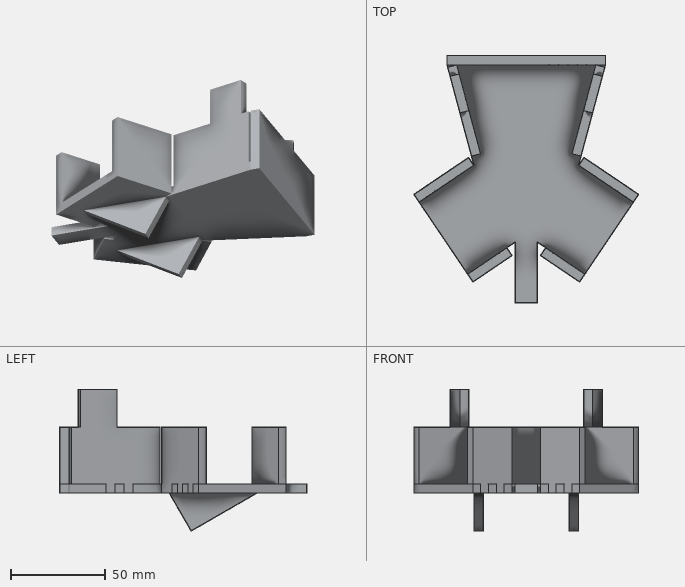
import cadquery as cq
import math

sheet = 5.0
wall_height = 30.0
back_width = 84.0
flank_length = 55.0
flank_angle = 15.0
arm_angle = 34.0
outer_wall_length = 35.0
outer_wall_fingers = 7
inner_wall_length = 25.0
inner_wall_fingers = 5
arm_width = 55.9
handle_width = 11.8
total_length = 131.0
ear_length = 20.0
ear_height = 20.0
fin_depth = 20.0
fin_angle = 30.0

flank_rad = math.radians(flank_angle)
arm_rad = math.radians(arm_angle)
fin_rad = math.radians(fin_angle)


def shifted(point, direction, distance):
    """Move a point in the XY plane by a distance along a direction."""
    return (point[0] + distance * direction[0], point[1] + distance * direction[1])


flank_up = (math.sin(flank_rad), math.cos(flank_rad))
arm_out = (math.cos(arm_rad), -math.sin(arm_rad))
arm_across = (-math.sin(arm_rad), -math.cos(arm_rad))

rear_corner = (back_width / 2, -sheet)
neck = shifted(rear_corner, flank_up, -flank_length)
shoulder = shifted(neck, arm_across, -sheet)
tip_rear = shifted(shoulder, arm_out, outer_wall_length)
tip_front = shifted(tip_rear, arm_across, arm_width)
inner_wall_corner = shifted(tip_front, arm_out, -inner_wall_length)
inner_wall_root = shifted(inner_wall_corner, arm_across, -sheet)
handle_x = handle_width / 2
handle_root = shifted(inner_wall_root, arm_out, (handle_x - inner_wall_root[0]) / arm_out[0])


def corner_box(x, z, length, height):
    """Box one sheet thick along Y, with its lowest corner at (x, 0, z)."""
    return cq.Workplane("XY").box(length, sheet, height, centered=False).translate((x, 0, z))


def wall_panel(length, tongues):
    """Wall standing on the base along +X, with (start, width) tongues reaching down through it."""
    panel = corner_box(0, sheet, length, wall_height)
    for start, width in tongues:
        panel = panel.union(corner_box(start, 0, width, sheet))
    return panel


def placed(panel, origin, direction):
    """Turn a panel's X axis to a direction, and move its corner to a point in the XY plane."""
    turn = math.degrees(math.atan2(direction[1], direction[0]))
    return panel.rotate((0, 0, 0), (0, 0, 1), turn).translate((*origin, 0))


def make_side_wall():
    """Flank wall with a raised ear; it starts one finger from the neck and touches the back wall."""
    length = flank_length - sheet - sheet * math.tan(flank_rad)
    tongue_starts = (3 * sheet, 5 * sheet)
    wall = wall_panel(length, [(start, sheet) for start in tongue_starts])
    ear_start = length - sheet - ear_length
    ear = corner_box(ear_start, sheet + wall_height, ear_length, ear_height)
    return placed(wall.union(ear), shifted(neck, flank_up, sheet), flank_up)


def make_outer_wall():
    """Rear wall of an arm; its tongue at the neck is two fingers wide."""
    finger = outer_wall_length / outer_wall_fingers
    tongues = [(0, 2 * finger), (3 * finger, finger), (5 * finger, finger)]
    return placed(wall_panel(outer_wall_length, tongues), neck, arm_out)


def make_inner_wall():
    """Front wall of an arm, beside the handle."""
    finger = inner_wall_length / inner_wall_fingers
    tongues = [(finger, finger), (3 * finger, finger)]
    return placed(wall_panel(inner_wall_length, tongues), inner_wall_corner, arm_out)


def make_fin():
    """Right triangle under the base, its long side flat against the underside."""
    peak_run = fin_depth * math.tan(fin_rad)
    base_run = peak_run + fin_depth / math.tan(fin_rad)
    profile = [(neck[1], 0), (neck[1] - base_run, 0), (neck[1] - peak_run, -fin_depth)]
    return cq.Workplane("YZ", origin=(neck[0] - sheet, 0, 0)).polyline(profile).close().extrude(sheet)


def make_back_wall():
    """Rear wall, with its tongues grouped towards the right-hand corner it is measured from."""
    tongues = [(start, sheet) for start in (sheet, 3 * sheet, 5 * sheet)]
    return placed(wall_panel(back_width, tongues), (back_width / 2, 0), (-1, 0))


def make_base(walls):
    right_edge = [
        (back_width / 2, 0),
        rear_corner,
        neck,
        shoulder,
        tip_rear,
        tip_front,
        inner_wall_corner,
        inner_wall_root,
        handle_root,
        (handle_x, -total_length),
    ]
    left_edge = [(-x, y) for x, y in reversed(right_edge)]
    plate = cq.Workplane("XY").polyline(right_edge + left_edge).close().extrude(sheet)
    for wall in walls:
        plate = plate.cut(wall)
    return plate


back_wall = make_back_wall()
walls = [back_wall]
for make_wall in (make_side_wall, make_outer_wall, make_inner_wall):
    right_wall = make_wall()
    walls += [right_wall, right_wall.mirror("YZ")]

right_fin = make_fin()
fins = [right_fin, right_fin.mirror("YZ")]

base = make_base(walls)

result = cq.Compound.makeCompound([body.val() for body in (base, *walls, *fins)])